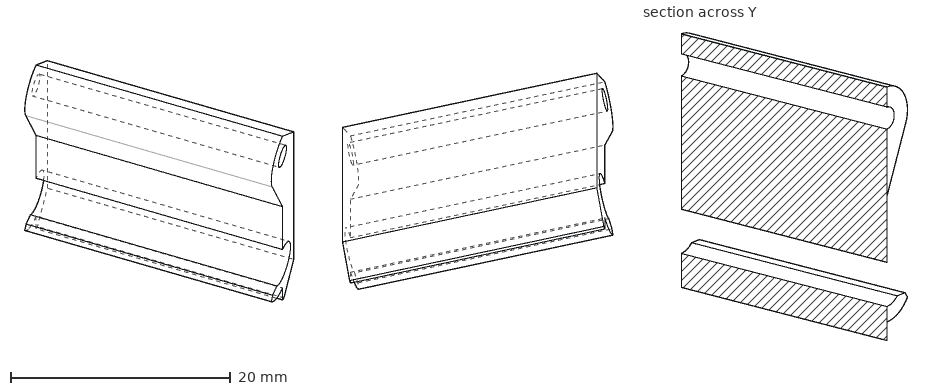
import cadquery as cq
import math

LENGTH = 23.87
HEIGHT = 24.58
PIVOT_RADIUS = 3.0
PIVOT_HOLE_DIAMETER = 2.1
BEND_DROP = 7.5

GROOVE_DROP = 16.0
GROOVE_RADIUS = 2.11
HOOK_RADIUS = 3.61
LIP_DROP = 1.5
LIP_FRONT = 2.63
HOOK_REACH = 3.0

BEVEL_TOP_DROP = 19.02
FOOT_TIP_DEPTH = 0.4
FOOT_TIP_RISE = 0.17

back_y = PIVOT_RADIUS
bottom_z = PIVOT_RADIUS - HEIGHT
groove_z = -GROOVE_DROP


def circle_point(radius, degrees, center_z=0.0):
    """Point on a circle centred on Y = 0; 0 degrees is +Y and 90 is +Z."""
    angle = math.radians(degrees)
    return (radius * math.cos(angle), center_z + radius * math.sin(angle))


def make_profile():
    tangent_angle = 180 + math.degrees(math.asin(PIVOT_RADIUS / BEND_DROP))
    lip_z = groove_z - LIP_DROP
    lip_inner_y = -math.sqrt(GROOVE_RADIUS**2 - LIP_DROP**2)
    tip_angle = 180 + math.degrees(math.acos(HOOK_REACH / HOOK_RADIUS))

    return (
        cq.Workplane("YZ", origin=(-LENGTH / 2, 0, 0))
        .moveTo(back_y, 0)
        .lineTo(0, PIVOT_RADIUS)
        .threePointArc((-PIVOT_RADIUS, 0), circle_point(PIVOT_RADIUS, tangent_angle))
        .lineTo(0, -BEND_DROP)
        .lineTo(0, groove_z + GROOVE_RADIUS)
        .threePointArc((GROOVE_RADIUS, groove_z), (lip_inner_y, lip_z))
        .lineTo(-LIP_FRONT, lip_z)
        .lineTo(*circle_point(HOOK_RADIUS, tip_angle, groove_z))
        .threePointArc(
            circle_point(HOOK_RADIUS, (tip_angle + 270) / 2, groove_z),
            (0, groove_z - HOOK_RADIUS),
        )
        .lineTo(0, bottom_z + FOOT_TIP_RISE)
        .lineTo(FOOT_TIP_DEPTH, bottom_z)
        .lineTo(back_y, -BEVEL_TOP_DROP)
        .close()
    )


def make_pivot_hole():
    return (
        cq.Workplane("YZ", origin=(-LENGTH / 2, 0, 0))
        .circle(PIVOT_HOLE_DIAMETER / 2)
        .extrude(LENGTH)
    )


result = make_profile().extrude(LENGTH).cut(make_pivot_hole())